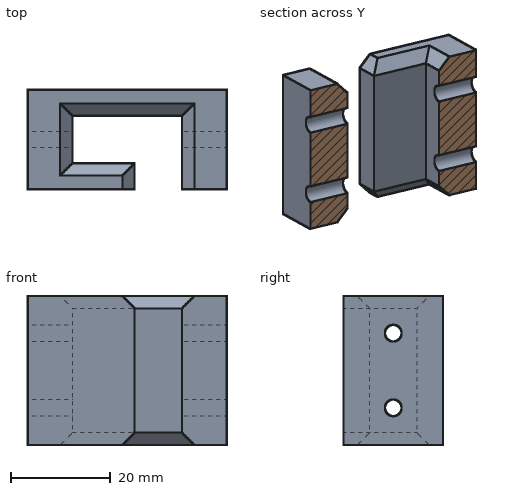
import cadquery as cq

length = 40.0
width = 20.0
height = 30.0

slot_length = 22.0
slot_gap = 9.5
rim_chamfer = 2.5

hole_diameter = 3.3
hole_spacing = 15.0

slot_left = (length - slot_length) / 2
slot_right = slot_left + slot_length
slot_front = (width - slot_gap) / 2
slot_back = slot_front + slot_gap
mouth_left = slot_right - slot_gap


def make_block():
    """Rectangular block with the L-shaped slot cut through its full height."""
    block = cq.Workplane("XY").box(length, width, height, centered=False)
    slot = (
        cq.Workplane("XY")
        .moveTo(slot_left, slot_front)
        .lineTo(mouth_left, slot_front)
        .lineTo(mouth_left, 0)
        .lineTo(slot_right, 0)
        .lineTo(slot_right, slot_back)
        .lineTo(slot_left, slot_back)
        .close()
        .extrude(height)
    )
    return block.cut(slot)


def chamfer_slot_rims(body):
    """Chamfer the top and bottom rims of the slot and its mouth."""
    margin = rim_chamfer / 2
    slot_region = cq.selectors.BoxSelector(
        (slot_left - margin, margin, -margin),
        (slot_right + margin, slot_back + margin, height + margin),
    )
    rims = body.faces("<Z or >Z").edges(slot_region)
    return rims.chamfer(rim_chamfer)


def drill_side_holes(body):
    """Drill two holes along X, spaced evenly about the middle height."""
    for offset in (-hole_spacing / 2, hole_spacing / 2):
        hole = (
            cq.Workplane("YZ")
            .center(width / 2, height / 2 + offset)
            .circle(hole_diameter / 2)
            .extrude(length)
        )
        body = body.cut(hole)
    return body


result = drill_side_holes(chamfer_slot_rims(make_block()))